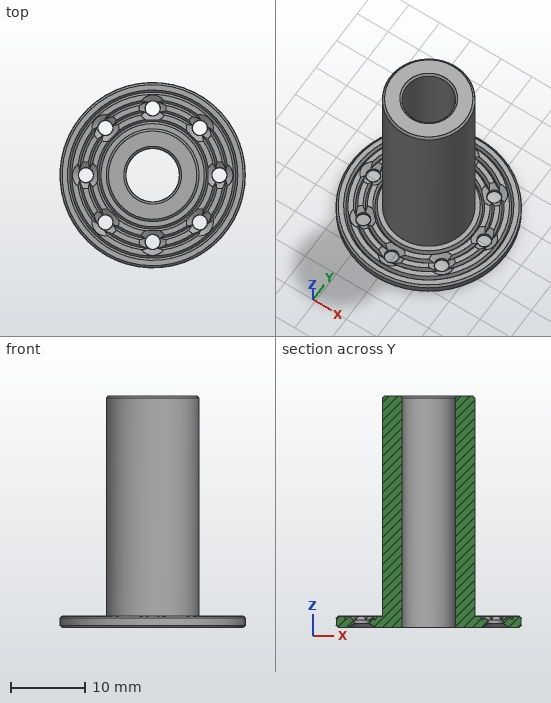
import cadquery as cq

total_height = 31.25
flange_diameter = 25.0
flange_thickness = 1.55
tube_diameter = 12.5
bore_diameter = 7.2
edge_chamfer = 0.3

groove_count = 4
first_groove_radius = 7.25
groove_pitch = 1.3
groove_width = 0.6
groove_depth = 0.5

hole_count = 8
hole_diameter = 2.0
hole_circle_radius = 9.0
countersink_diameter = 3.62
countersink_depth = 0.55


def make_flange():
    """Round plate standing on Z = 0, chamfered on both rims."""
    plate = cq.Workplane("XY").circle(flange_diameter / 2).extrude(flange_thickness)
    return plate.edges().chamfer(edge_chamfer)


def make_tube():
    """Solid tube body, chamfered at its top end."""
    body = cq.Workplane("XY").circle(tube_diameter / 2).extrude(total_height)
    return body.faces(">Z").edges().chamfer(edge_chamfer)


def make_bore():
    """Cutter for the through bore with a chamfered mouth at the top."""
    bore_radius = bore_diameter / 2
    return (
        cq.Workplane("XZ")
        .polyline([
            (0, 0),
            (bore_radius, 0),
            (bore_radius, total_height - edge_chamfer),
            (bore_radius + edge_chamfer, total_height),
            (0, total_height),
        ])
        .close()
        .revolve(360, (0, 0), (0, 1))
    )


def make_groove(radius):
    """Cutter for one V groove centred on the given radius."""
    return (
        cq.Workplane("XZ")
        .polyline([
            (radius - groove_width / 2, flange_thickness),
            (radius, flange_thickness - groove_depth),
            (radius + groove_width / 2, flange_thickness),
        ])
        .close()
        .revolve(360, (0, 0), (0, 1))
    )


def make_hole_cutter():
    """Cutter for one flange hole on the +X axis, with a cone opening to each face."""
    hole_radius = hole_diameter / 2
    countersink_radius = countersink_diameter / 2
    return (
        cq.Workplane("XZ", origin=(hole_circle_radius, 0, 0))
        .polyline([
            (0, 0),
            (countersink_radius, 0),
            (hole_radius, countersink_depth),
            (hole_radius, flange_thickness - countersink_depth),
            (countersink_radius, flange_thickness),
            (0, flange_thickness),
        ])
        .close()
        .revolve(360, (0, 0), (0, 1))
    )


result = make_flange().union(make_tube()).cut(make_bore())

for index in range(groove_count):
    result = result.cut(make_groove(first_groove_radius + index * groove_pitch))

hole_cutter = make_hole_cutter()
for index in range(hole_count):
    result = result.cut(hole_cutter.rotate((0, 0, 0), (0, 0, 1), index * 360 / hole_count))